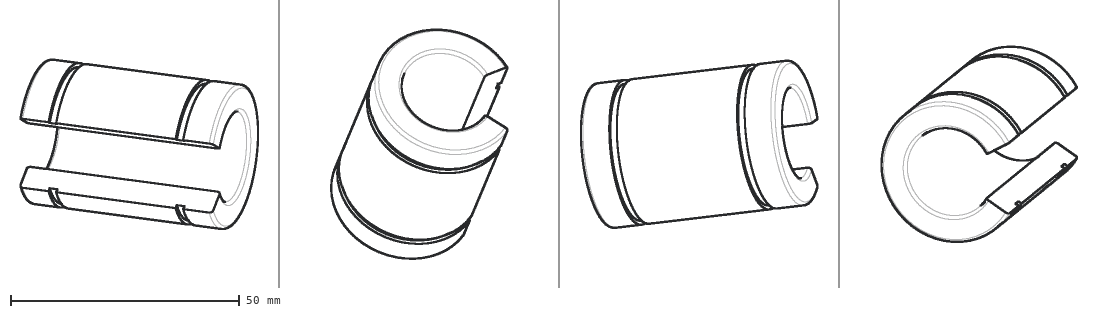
import cadquery as cq
import math

length = 45.0
outer_diameter = 32.0
bore_diameter = 20.0
edge_radius = 0.7

groove_width = 1.75
groove_depth = 0.85
groove_end_distance = 6.8

opening_angle = 60.9

outer_radius = outer_diameter / 2
bore_radius = bore_diameter / 2


def ring(start_x, width, inner_radius, ring_outer_radius):
    """Plain ring around the X axis."""
    return (
        cq.Workplane("YZ", origin=(start_x, 0, 0))
        .circle(ring_outer_radius)
        .circle(inner_radius)
        .extrude(width)
    )


def opening_wedge():
    """Wedge from the axis outwards that removes the open sector."""
    reach_y = -outer_diameter
    half_height = outer_diameter * math.tan(math.radians(opening_angle / 2))
    return (
        cq.Workplane("YZ", origin=(-length / 2, 0, 0))
        .polyline([(0, 0), (reach_y, half_height), (reach_y, -half_height)])
        .close()
        .extrude(length)
    )


sleeve = ring(-length / 2, length, bore_radius, outer_radius)
sleeve = sleeve.faces("<X or >X").edges().fillet(edge_radius)

groove_offset = length / 2 - groove_end_distance
for groove_start in (-groove_offset, groove_offset - groove_width):
    sleeve = sleeve.cut(
        ring(groove_start, groove_width, outer_radius - groove_depth, outer_diameter)
    )

result = sleeve.cut(opening_wedge())